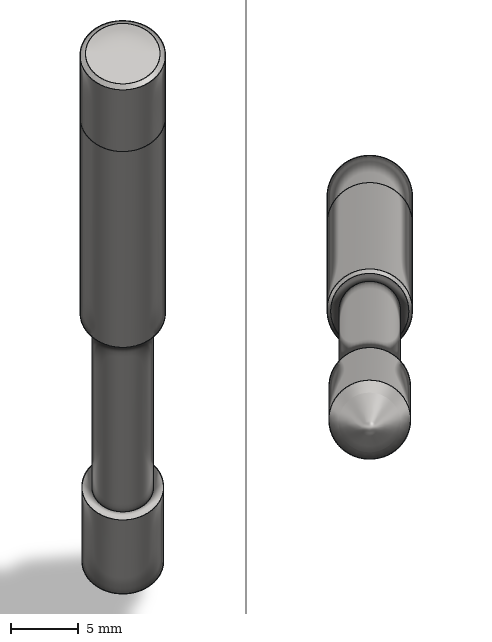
import cadquery as cq

TOTAL_LENGTH = 67.3

BARREL_RADIUS = 3.15
BARREL_LENGTH = 33.05
BARREL_BOTTOM_CHAMFER = 0.3

CAP_LENGTH = 8.0
CAP_CHAMFER_WIDTH = 0.4
CAP_CHAMFER_HEIGHT = 0.2

SHAFT_RADIUS = 2.3
HEAD_RADIUS = 3.0
HEAD_TOP_Z = 12.5
HEAD_BOTTOM_Z = 3.15
POINT_RADIUS = 2.3
POINT_HEIGHT = POINT_RADIUS

BARREL_BOTTOM_Z = TOTAL_LENGTH - BARREL_LENGTH
CAP_BOTTOM_Z = TOTAL_LENGTH - CAP_LENGTH


def revolve_profile(points):
    """Revolve a closed (radius, z) outline about the Z axis."""
    return cq.Workplane("XZ").polyline(points).close().revolve(360, (0, 0, 0), (0, 1, 0))


def make_cap():
    """Cylindrical cap with a shallow chamfer around its top face."""
    return revolve_profile([
        (0, CAP_BOTTOM_Z),
        (BARREL_RADIUS, CAP_BOTTOM_Z),
        (BARREL_RADIUS, TOTAL_LENGTH - CAP_CHAMFER_HEIGHT),
        (BARREL_RADIUS - CAP_CHAMFER_WIDTH, TOTAL_LENGTH),
        (0, TOTAL_LENGTH),
    ])


def make_probe():
    """Barrel, slimmer shaft and wider head, which tapers in two cones to a point."""
    return revolve_profile([
        (0, 0),
        (POINT_RADIUS, POINT_HEIGHT),
        (HEAD_RADIUS, HEAD_BOTTOM_Z),
        (HEAD_RADIUS, HEAD_TOP_Z),
        (SHAFT_RADIUS, HEAD_TOP_Z),
        (SHAFT_RADIUS, BARREL_BOTTOM_Z),
        (BARREL_RADIUS - BARREL_BOTTOM_CHAMFER, BARREL_BOTTOM_Z),
        (BARREL_RADIUS, BARREL_BOTTOM_Z + BARREL_BOTTOM_CHAMFER),
        (BARREL_RADIUS, CAP_BOTTOM_Z),
        (0, CAP_BOTTOM_Z),
    ])


cap = make_cap()
probe = make_probe()

result = cq.Compound.makeCompound([cap.val(), probe.val()])